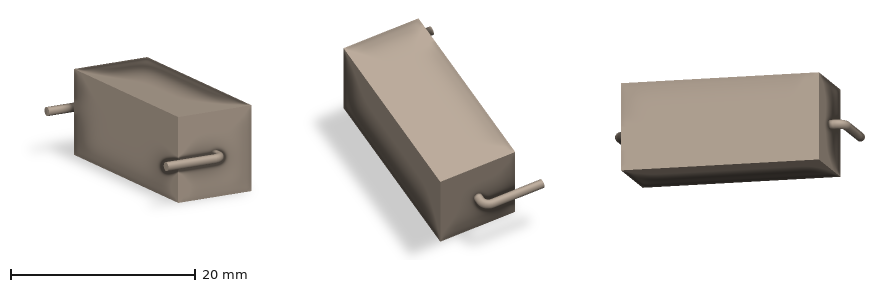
import cadquery as cq

body_length = 22.2
body_depth = 9.25
body_height = 9.7

overall_length = 26.4
overall_depth = 11.72
wire_diameter = 1.0
bend_radius = 0.95

wire_radius = wire_diameter / 2
body_end_x = body_length / 2
leg_x = overall_length / 2 - wire_radius
bend_start_x = leg_x - bend_radius
leg_tip_y = body_depth / 2 - overall_depth


def make_body():
    return cq.Workplane("XY").box(body_length, body_depth, body_height)


def make_lead():
    """Lead at the +X end: out of the body, round a quarter bend, then along -Y."""
    centreline = (
        cq.Workplane("XY")
        .moveTo(body_end_x, 0)
        .lineTo(bend_start_x, 0)
        .tangentArcPoint((leg_x, -bend_radius), relative=False)
        .lineTo(leg_x, leg_tip_y)
    )
    return cq.Workplane("YZ", origin=(body_end_x, 0, 0)).circle(wire_radius).sweep(centreline)


lead = make_lead()
result = make_body().union(lead).union(lead.mirror("YZ"))